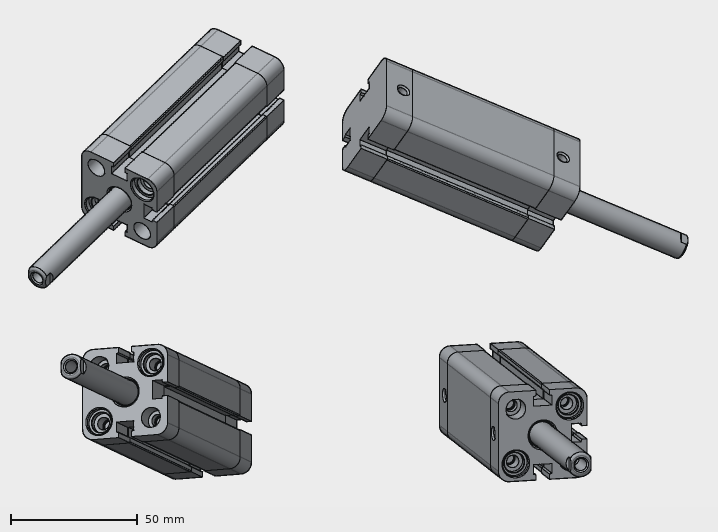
import cadquery as cq


TOTAL_LENGTH = 143.6
SECTION = 36.3
CORNER_RADIUS = 4.5
HOUSING_LENGTH = 87.2
CAP_LENGTH = 11.8
TUBE_LENGTH = HOUSING_LENGTH - 2 * CAP_LENGTH
ROD_REACH = TOTAL_LENGTH - HOUSING_LENGTH

SLOT_DEPTH = 6.3
SLOT_LIP = 2.5
SLOT_LIP_SLOPE = 0.3
SLOT_MOUTH = 5.5
CAP_SLOT_WIDTH = 7.5
TUBE_SLOT_WIDTH = 6.7
TUBE_SLOT_CHAMFER = 0.5
SLOT_ANGLES = (0, 90, 180)

THREAD_DIAMETER = 5.0
CORE_DIAMETER = 4.2

HOLE_OFFSET = 11.0
THREAD_DEPTH = 10.0
CORE_DEPTH = 10.9
PLAIN_BORE_DIAMETER = 8.0
PLAIN_BORE_DEPTH = 7.2
SOCKET_DIAMETER = 11.3
SOCKET_INNER_DIAMETER = 10.5
SOCKET_DEPTH = 2.3
SOCKET_STEP_DIAMETER = 8.5
SOCKET_BORE_DEPTH = 4.6
SOCKET_CHAMFER = (SOCKET_DIAMETER - SOCKET_INNER_DIAMETER) / 2
SOCKET_STEP_CHAMFER = (SOCKET_STEP_DIAMETER - PLAIN_BORE_DIAMETER) / 2

PORT_MOUTH_DIAMETER = 5.6
PORT_CHAMFER = (PORT_MOUTH_DIAMETER - CORE_DIAMETER) / 2
PORT_DEPTH = 5.7
PORT_INSET = 7.6

ROD_DIAMETER = 10.0
ROD_TIP_DIAMETER = 7.5
ROD_TIP_LENGTH = 0.9
ROD_TIP_BULGE = 0.22
FLAT_SPACING = 8.3
FLAT_LENGTH = 3.2
ROD_HOLE_MOUTH = 6.0
ROD_HOLE_DIAMETER = 4.9
ROD_HOLE_DEPTH = 11.5
SEAL_MOUTH_DIAMETER = 12.0
SEAL_DIAMETER = 10.9
SEAL_DEPTH = 1.5


def turned(profile):
    """Solid of revolution about Y from (radius, y) points, closed along the axis."""
    first_y = profile[0][1]
    last_y = profile[-1][1]
    points = [(0, first_y), *profile, (0, last_y)]
    return cq.Workplane("XY").polyline(points).close().revolve(360, (0, 0), (0, 1))


def slot_cutter(width, chamfer, y_start, length):
    """T-shaped slot along Y, open toward +Z; the chamfer widens its mouth."""
    top = SECTION / 2
    outline = [(SLOT_MOUTH / 2 + chamfer, top)] if chamfer else []
    outline += [
        (SLOT_MOUTH / 2, top - chamfer),
        (SLOT_MOUTH / 2, top - SLOT_LIP + SLOT_LIP_SLOPE),
        (width / 2, top - SLOT_LIP),
        (width / 2, top - SLOT_DEPTH),
    ]
    mirrored = [(-x, z) for x, z in reversed(outline)]
    cutter = cq.Workplane("XZ").polyline(outline + mirrored).close().extrude(-length)
    return cutter.translate((0, y_start, 0))


def section_block(y_start, length, width, chamfer=0):
    """Rounded square length of the housing with its three slots."""
    block = cq.Workplane("XZ").rect(SECTION, SECTION).extrude(-length).edges("|Y").fillet(CORNER_RADIUS)
    block = block.translate((0, y_start, 0))
    slot = slot_cutter(width, chamfer, y_start, length)
    for angle in SLOT_ANGLES:
        block = block.cut(slot.rotate((0, 0, 0), (0, 1, 0), angle))
    return block


def port_cutter(y):
    """Chamfered blind port drilled in from the -X side."""
    profile = [
        (PORT_MOUTH_DIAMETER / 2, 0),
        (CORE_DIAMETER / 2, PORT_CHAMFER),
        (CORE_DIAMETER / 2, PORT_DEPTH),
    ]
    cutter = turned(profile).rotate((0, 0, 0), (0, 0, 1), -90)
    return cutter.translate((-SECTION / 2, y, 0))


def threaded_hole_profile(start_depth):
    """Threaded length and narrower core at the bottom of a corner hole."""
    return [
        (THREAD_DIAMETER / 2, start_depth),
        (THREAD_DIAMETER / 2, THREAD_DEPTH),
        (CORE_DIAMETER / 2, THREAD_DEPTH),
        (CORE_DIAMETER / 2, CORE_DEPTH),
    ]


def plain_hole_cutter():
    """Counterbored corner hole."""
    bore_radius = PLAIN_BORE_DIAMETER / 2
    bore = [(bore_radius, 0), (bore_radius, PLAIN_BORE_DEPTH)]
    return turned(bore + threaded_hole_profile(PLAIN_BORE_DEPTH))


def socket_hole_cutter():
    """Corner hole with a wide chamfered socket at its mouth."""
    socket = [
        (SOCKET_DIAMETER / 2, 0),
        (SOCKET_INNER_DIAMETER / 2, SOCKET_CHAMFER),
        (SOCKET_INNER_DIAMETER / 2, SOCKET_DEPTH),
        (SOCKET_STEP_DIAMETER / 2, SOCKET_DEPTH),
        (PLAIN_BORE_DIAMETER / 2, SOCKET_DEPTH + SOCKET_STEP_CHAMFER),
        (PLAIN_BORE_DIAMETER / 2, SOCKET_BORE_DEPTH),
    ]
    return turned(socket + threaded_hole_profile(SOCKET_BORE_DEPTH))


def rod_bore_cutter():
    """Rod bore through the cap with a stepped seal recess at the front."""
    profile = [
        (SEAL_MOUTH_DIAMETER / 2, 0),
        (SEAL_DIAMETER / 2, (SEAL_MOUTH_DIAMETER - SEAL_DIAMETER) / 2),
        (SEAL_DIAMETER / 2, SEAL_DEPTH),
        (ROD_DIAMETER / 2, SEAL_DEPTH),
        (ROD_DIAMETER / 2, CAP_LENGTH),
    ]
    return turned(profile)


def make_front_cap():
    cap = section_block(0, CAP_LENGTH, CAP_SLOT_WIDTH)
    cap = cap.cut(rod_bore_cutter())
    for side in (-1, 1):
        cap = cap.cut(socket_hole_cutter().translate((side * HOLE_OFFSET, 0, side * HOLE_OFFSET)))
        cap = cap.cut(plain_hole_cutter().translate((side * HOLE_OFFSET, 0, -side * HOLE_OFFSET)))
    return cap.cut(port_cutter(PORT_INSET))


def make_tube():
    return section_block(CAP_LENGTH, TUBE_LENGTH, TUBE_SLOT_WIDTH, TUBE_SLOT_CHAMFER)


def make_rear_cap():
    cap = section_block(HOUSING_LENGTH - CAP_LENGTH, CAP_LENGTH, CAP_SLOT_WIDTH)
    return cap.cut(port_cutter(HOUSING_LENGTH - PORT_INSET))


def flat_cutter():
    """Wrench flat on the +X side of the rod end, with a 45 degree run-out."""
    flat_x = FLAT_SPACING / 2
    outer_x = ROD_DIAMETER
    flat_end = -ROD_REACH + FLAT_LENGTH
    outline = [
        (flat_x, -ROD_REACH),
        (flat_x, flat_end),
        (outer_x, flat_end + outer_x - flat_x),
        (outer_x, -ROD_REACH),
    ]
    return cq.Workplane("XY").polyline(outline).close().extrude(ROD_DIAMETER, both=True)


def rod_hole_cutter():
    """Countersunk hole in the rod end with a 90 degree drill point."""
    hole_radius = ROD_HOLE_DIAMETER / 2
    profile = [
        (0, 0),
        (ROD_HOLE_MOUTH / 2, 0),
        (hole_radius, ROD_HOLE_MOUTH / 2 - hole_radius),
        (hole_radius, ROD_HOLE_DEPTH),
        (0, ROD_HOLE_DEPTH + hole_radius),
    ]
    cutter = cq.Workplane("XY").polyline(profile).close().revolve(360, (0, 0), (0, 1))
    return cutter.translate((0, -ROD_REACH, 0))


def make_rod():
    """Rod with a rounded tip, two wrench flats and an end hole; it ends flush with the cap's inner face."""
    rod_radius = ROD_DIAMETER / 2
    tip_radius = ROD_TIP_DIAMETER / 2
    half_profile = (
        cq.Workplane("XY")
        .moveTo(0, -ROD_REACH)
        .lineTo(tip_radius, -ROD_REACH)
        .sagittaArc((rod_radius, -ROD_REACH + ROD_TIP_LENGTH), -ROD_TIP_BULGE)
        .lineTo(rod_radius, CAP_LENGTH)
        .lineTo(0, CAP_LENGTH)
        .close()
    )
    rod = half_profile.revolve(360, (0, 0), (0, 1)).cut(rod_hole_cutter())
    for angle in (0, 180):
        rod = rod.cut(flat_cutter().rotate((0, 0, 0), (0, 1, 0), angle))
    return rod


front_cap = make_front_cap()
tube = make_tube()
rear_cap = make_rear_cap()
rod = make_rod()

result = cq.Compound.makeCompound([front_cap.val(), tube.val(), rear_cap.val(), rod.val()])